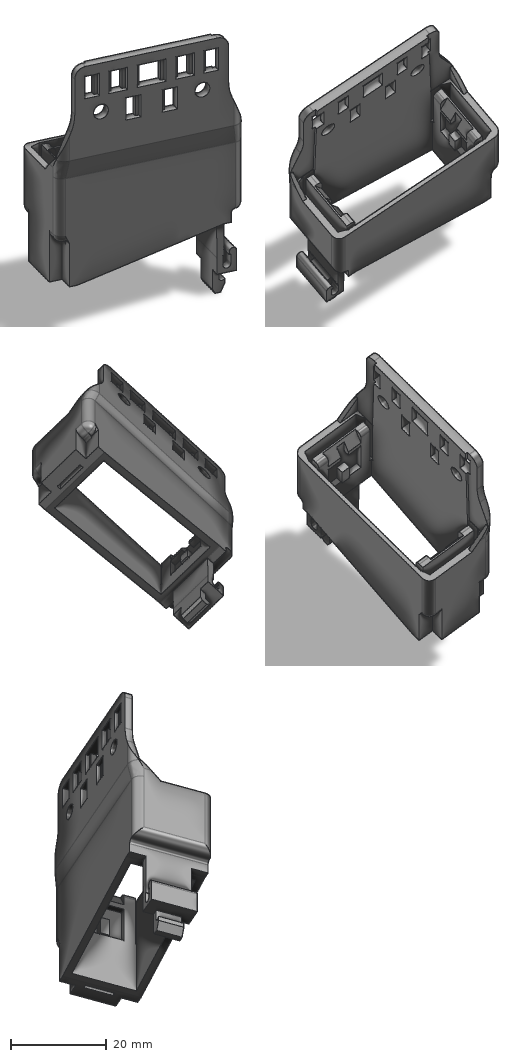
import cadquery as cq
import math

BOX_X = 17.95
HALF_Y = 21.7
RIM_Z = 38.5
BASE_Z = 12.55
TOP_Z = 64.6
CORNER_R = 2.0

STEP_Y = 18.75
STEP_R = HALF_Y - CORNER_R - STEP_Y
STEP_Z = 22.8
UNDERCUT_R = CORNER_R
SLOPE_Y = 16.9
SLOPE_Z = 19.65

TONGUE_X0 = 3.75
TONGUE_X1 = 14.2

SIDE_WALL = 1.0
CAVITY_X1 = 16.85
CAVITY_HALF_Y = 20.15
CAVITY_CHAMFER_X = 0.85
CAVITY_CHAMFER_Y = 2.1
FLOOR_Z = 25.6
OPENING_X0 = 1.6
OPENING_X1 = 16.4
OPENING_HALF_Y = 15.65
PAD_TOP_Z = 36.8

GUIDE_TOP_Z = RIM_Z
GUIDE_BACK_Y = 17.8
POST_X0 = 1.8
POST_X1 = 16.0
POST_ROUND = 1.1
RAMP_X0 = 4.45
RAMP_X1 = 13.5
RAMP_TOP_Y = 17.45
RAMP_TIP_Z = 35.3
RAMP_LIP = 1.2
GUIDE_WALL_Y = 17.0
GAP_X0 = 7.95
GAP_X1 = 10.0
STOP_TIP_Y = 15.25
STOP_TOP_Z = 29.8

SLOT_X0 = 5.55
SLOT_X1 = 12.35
SLOT_LEDGE_Y = 18.7
SLOT_LEDGE_DEPTH = 1.3

PLATE_X1 = 18.6
PLATE_X0 = OPENING_X1
PLATE_EDGE_X0 = 16.9
PLATE_PAD_BASE_Y = 15.3
PLATE_PAD_TOP_Y = 14.65
PLATE_FLARE_Z = 42.9
NECK_HALF_Y = 17.8
NECK_Z = 53.7
SHOULDER_R = 10.0
SHOULDER_ANGLE = math.radians(24)
PLATE_CORNER_R = 2.5

GUSSET_X0 = 12.1
GUSSET_THICK = 1.05

WINDOW_Y = 2.6
WINDOW_Z = 5.3
UPPER_WINDOW_Z = 59.55
OUTER_WINDOW_PLACE = 14.2
INNER_WINDOW_PLACE = 7.75
MIDDLE_WINDOW_Y = 5.0
LOWER_WINDOW_Z = 52.4
LOWER_WINDOW_PLACE = 4.65
RELIEF_X0 = 17.65
RELIEF_Y = 0.85
HOLE_D = 3.4
HOLE_Y = 11.75
HOLE_Z = 53.05

LEG_INNER_Y = 17.2
LEG_ROOT_Y = 17.0
LEG_TAPER_Z = 9.6
HOOK_BASE_Z = 5.75
HOOK_TOP_Z = 11.4
HOOK_LIP_Y = 20.0
GROOVE_TOP_Z = 9.8
GROOVE_OUTER_Y = 20.35
GROOVE_Z = 6.8
GROOVE_R = 0.9
WEB_TOP_Z = 10.2
WEB_R = 0.8
TIP_X0 = 6.1
TIP_X1 = 11.9
BARB_Y = 20.0
BARB_TOP_Z = 3.1
BARB_SIDE_Z = 2.0
BARB_R = 0.8
TIP_FLAT_Y0 = 17.75
TIP_FLAT_Y1 = 19.05
TIP_CHAMFER_Z = 1.05


def block(x0, x1, y0, y1, z0, z1):
    """Box between two opposite corners."""
    return cq.Workplane("XY").box(x1 - x0, y1 - y0, z1 - z0, centered=False).translate((x0, y0, z0))


def side_sketch(x0):
    """Workplane whose local axes are Y and Z, at the given X."""
    return cq.Workplane("YZ", origin=(x0, 0, 0))


def both_ends(solid):
    """A feature at the +Y end together with its mirror image at the -Y end."""
    return solid.union(solid.mirror("XZ"))


def rounded_prism(width, radius, z0, z1):
    """Upright prism with rounded corners over the full length in Y."""
    prism = block(0, width, -HALF_Y, HALF_Y, z0, z1)
    return prism.edges("|Z").fillet(radius)


def footprint_sketch(width, radius):
    """Rounded rectangle with one long side on X = 0."""
    center = cq.Location(cq.Vector(width / 2, 0, 0))
    return cq.Sketch().rect(width, 2 * HALF_Y).vertices().fillet(radius).moved(center)


def undercut_profile():
    """Side outline of the upper box and the +Y half of the lower body, with the step blended by two arcs."""
    round_z = STEP_Z + UNDERCUT_R
    return (
        side_sketch(0)
        .moveTo(-SLOPE_Y, RIM_Z)
        .lineTo(HALF_Y, RIM_Z)
        .lineTo(HALF_Y, round_z)
        .radiusArc((HALF_Y - UNDERCUT_R, STEP_Z), UNDERCUT_R)
        .radiusArc((STEP_Y, STEP_Z - STEP_R), -STEP_R)
        .lineTo(STEP_Y, SLOPE_Z)
        .lineTo(SLOPE_Y, SLOPE_Z)
        .lineTo(-SLOPE_Y, BASE_Z)
        .close()
        .extrude(BOX_X)
    )


def notched_end():
    """-Y end: a ball-cornered upper part over a lower wall, with a cove and side webs between them."""
    start_y = -SLOPE_Y
    round_z = STEP_Z + UNDERCUT_R
    cove_y = -STEP_Y - STEP_R
    ball = rounded_prism(BOX_X, CORNER_R, STEP_Z, RIM_Z).faces("<Z").edges().fillet(UNDERCUT_R)
    upper = ball.intersect(block(0, BOX_X, -HALF_Y, start_y, STEP_Z, RIM_Z))
    lower = block(0, BOX_X, -STEP_Y, start_y, BASE_Z, RIM_Z)
    cove = (
        side_sketch(CORNER_R)
        .moveTo(-STEP_Y, STEP_Z)
        .lineTo(-STEP_Y, STEP_Z - STEP_R)
        .radiusArc((cove_y, STEP_Z), -STEP_R)
        .close()
        .extrude(BOX_X - 2 * CORNER_R)
    )
    web = (
        side_sketch(0)
        .polyline([(-STEP_Y, STEP_Z), (-STEP_Y, round_z), (cove_y, round_z)])
        .close()
        .extrude(BOX_X)
    )
    end_block = block(TONGUE_X0, TONGUE_X1, -HALF_Y, -STEP_Y, BASE_Z, RIM_Z)
    return upper.union(lower).union(cove).union(web).union(end_block)


def stepped_body():
    """Outer body with a sloping bottom; both ends step in below the rounded upper part."""
    main = undercut_profile().intersect(rounded_prism(BOX_X, CORNER_R, BASE_Z, RIM_Z))
    return main.union(notched_end())


def cavity():
    """Space inside the box: wide down to the floor, then a narrower opening through the bottom.

    Pads thicken both long walls, leaving the opening's faces continuous with them.
    """
    straight_y = CAVITY_HALF_Y - CAVITY_CHAMFER_Y
    flat_x0 = SIDE_WALL + CAVITY_CHAMFER_X
    flat_x1 = CAVITY_X1 - CAVITY_CHAMFER_X
    upper = (
        cq.Workplane("XY", origin=(0, 0, FLOOR_Z))
        .polyline([
            (SIDE_WALL, -straight_y), (flat_x0, -CAVITY_HALF_Y),
            (flat_x1, -CAVITY_HALF_Y), (CAVITY_X1, -straight_y),
            (CAVITY_X1, straight_y), (flat_x1, CAVITY_HALF_Y),
            (flat_x0, CAVITY_HALF_Y), (SIDE_WALL, straight_y),
        ])
        .close()
        .extrude(RIM_Z - FLOOR_Z)
    )
    front_pad = block(SIDE_WALL, OPENING_X0, -OPENING_HALF_Y, OPENING_HALF_Y, FLOOR_Z, PAD_TOP_Z)
    plate_pad = block(OPENING_X1, CAVITY_X1, -PLATE_PAD_BASE_Y, PLATE_PAD_BASE_Y, FLOOR_Z, RIM_Z)
    opening = block(OPENING_X0, OPENING_X1, -OPENING_HALF_Y, OPENING_HALF_Y, BASE_Z, FLOOR_Z)
    return upper.cut(front_pad).cut(plate_pad).union(opening)


def end_guide():
    """Two posts joined by a wall that carries a pair of ramps and a stop."""
    def post(x0, x1):
        solid = block(x0, x1, OPENING_HALF_Y, GUIDE_BACK_Y, FLOOR_Z, GUIDE_TOP_Z)
        return solid.edges("|X and <Y and >Z").fillet(POST_ROUND)

    wall = block(RAMP_X0, RAMP_X1, GUIDE_WALL_Y, GUIDE_BACK_Y, FLOOR_Z, GUIDE_TOP_Z)
    slope = (
        side_sketch(RAMP_X0)
        .polyline([
            (GUIDE_BACK_Y, GUIDE_TOP_Z), (RAMP_TOP_Y, GUIDE_TOP_Z), (OPENING_HALF_Y, RAMP_TIP_Z),
            (OPENING_HALF_Y, RAMP_TIP_Z - RAMP_LIP), (GUIDE_BACK_Y, RAMP_TIP_Z - RAMP_LIP),
        ])
        .close()
        .extrude(RAMP_X1 - RAMP_X0)
    )
    above_slope = (
        side_sketch(RAMP_X0)
        .polyline([
            (RAMP_TOP_Y, GUIDE_TOP_Z), (OPENING_HALF_Y, GUIDE_TOP_Z), (OPENING_HALF_Y, RAMP_TIP_Z),
        ])
        .close()
        .extrude(RAMP_X1 - RAMP_X0)
    )
    gap = block(GAP_X0, GAP_X1, OPENING_HALF_Y, GUIDE_WALL_Y, FLOOR_Z, GUIDE_TOP_Z)
    stop = block(GAP_X0, GAP_X1, STOP_TIP_Y, GUIDE_BACK_Y, FLOOR_Z, STOP_TOP_Z)
    middle = wall.cut(above_slope).union(slope.cut(gap)).union(stop)
    return middle.union(post(POST_X0, RAMP_X0)).union(post(RAMP_X1, POST_X1))


def hook_slot():
    """Slot through the floor at the -Y end, with a shallow ledge on its outer side."""
    through = block(SLOT_X0, SLOT_X1, -SLOT_LEDGE_Y, -GUIDE_BACK_Y, BASE_Z, FLOOR_Z)
    ledge = block(SLOT_X0, SLOT_X1, -CAVITY_HALF_Y, -SLOT_LEDGE_Y, FLOOR_Z - SLOT_LEDGE_DEPTH, FLOOR_Z)
    return through.union(ledge)


def plate_outline():
    """Plate seen along X: rounded top corners, a neck, and S-shaped shoulders at full length."""
    shoulder_y = SHOULDER_R * (1 - math.cos(SHOULDER_ANGLE))
    shoulder_z = SHOULDER_R * math.sin(SHOULDER_ANGLE)
    run_y = HALF_Y - NECK_HALF_Y - 2 * shoulder_y
    run_z = run_y / math.tan(SHOULDER_ANGLE)
    wide_z = NECK_Z - 2 * shoulder_z - run_z

    half = (
        side_sketch(0)
        .moveTo(0, RIM_Z)
        .lineTo(HALF_Y, RIM_Z)
        .lineTo(HALF_Y, wide_z)
        .radiusArc((HALF_Y - shoulder_y, wide_z + shoulder_z), -SHOULDER_R)
        .lineTo(NECK_HALF_Y + shoulder_y, NECK_Z - shoulder_z)
        .radiusArc((NECK_HALF_Y, NECK_Z), SHOULDER_R)
        .lineTo(NECK_HALF_Y, TOP_Z - PLATE_CORNER_R)
        .radiusArc((NECK_HALF_Y - PLATE_CORNER_R, TOP_Z), -PLATE_CORNER_R)
        .lineTo(0, TOP_Z)
        .close()
        .extrude(PLATE_X1)
    )
    return both_ends(half)


def plate_and_gussets():
    """Upright plate, thicker in the middle, flaring outward from the box, with a gusset at each side."""
    flare_r = CORNER_R + PLATE_X1 - BOX_X
    flare = (
        cq.Workplane("XY", origin=(0, 0, RIM_Z))
        .placeSketch(
            footprint_sketch(BOX_X, CORNER_R),
            footprint_sketch(PLATE_X1, flare_r).moved(cq.Location(cq.Vector(0, 0, PLATE_FLARE_Z - RIM_Z))),
        )
        .loft()
    )
    envelope = flare.union(rounded_prism(PLATE_X1, flare_r, PLATE_FLARE_Z, TOP_Z))
    edge_slab = block(PLATE_EDGE_X0, PLATE_X1, -HALF_Y, HALF_Y, RIM_Z, TOP_Z)
    middle_slab = (
        side_sketch(PLATE_X0)
        .polyline([
            (-PLATE_PAD_BASE_Y, RIM_Z), (PLATE_PAD_BASE_Y, RIM_Z),
            (PLATE_PAD_TOP_Y, TOP_Z), (-PLATE_PAD_TOP_Y, TOP_Z),
        ])
        .close()
        .extrude(PLATE_X1 - PLATE_X0)
    )
    gusset_run = PLATE_X1 - GUSSET_X0
    gusset = (
        cq.Workplane("XZ", origin=(0, HALF_Y, 0))
        .polyline([(GUSSET_X0, RIM_Z), (PLATE_X1, RIM_Z), (PLATE_X1, RIM_Z + gusset_run)])
        .close()
        .extrude(GUSSET_THICK)
    )
    stock = edge_slab.union(middle_slab).union(both_ends(gusset))
    return stock.intersect(plate_outline()).intersect(envelope)


def plate_openings():
    """Two rows of windows, relieved sideways at the outer face, and two round holes."""
    def window(y, z, width, reliefs):
        z0 = z - WINDOW_Z / 2
        z1 = z + WINDOW_Z / 2
        solid = block(PLATE_X0, PLATE_X1, y - width / 2, y + width / 2, z0, z1)
        for side in reliefs:
            far_y = y + side * (width / 2 + RELIEF_Y)
            solid = solid.union(block(RELIEF_X0, PLATE_X1, min(y, far_y), max(y, far_y), z0, z1))
        return solid

    cutter = window(0, UPPER_WINDOW_Z, MIDDLE_WINDOW_Y, (-1, 1))
    for side in (-1, 1):
        cutter = cutter.union(window(side * OUTER_WINDOW_PLACE, UPPER_WINDOW_Z, WINDOW_Y, (-side,)))
        cutter = cutter.union(window(side * INNER_WINDOW_PLACE, UPPER_WINDOW_Z, WINDOW_Y, (-1, 1)))
        cutter = cutter.union(window(side * LOWER_WINDOW_PLACE, LOWER_WINDOW_Z, WINDOW_Y, (-side,)))
    holes = (
        side_sketch(PLATE_X0)
        .pushPoints([(-HOLE_Y, HOLE_Z), (HOLE_Y, HOLE_Z)])
        .circle(HOLE_D / 2)
        .extrude(PLATE_X1 - PLATE_X0)
    )
    return cutter.union(holes)


def hook():
    """Leg below the +Y end with an upward hook and, below it, a narrower barbed tip."""
    leg = (
        side_sketch(TONGUE_X0)
        .polyline([
            (STEP_Y, SLOPE_Z), (STEP_Y, HOOK_BASE_Z), (LEG_INNER_Y, HOOK_BASE_Z),
            (LEG_INNER_Y, LEG_TAPER_Z), (LEG_ROOT_Y, SLOPE_Z),
        ])
        .close()
        .extrude(TONGUE_X1 - TONGUE_X0)
    )
    hook_end_r = (HALF_Y - HOOK_LIP_Y) / 2
    upright = (
        side_sketch(TONGUE_X0)
        .moveTo(LEG_INNER_Y, HOOK_BASE_Z)
        .lineTo(HALF_Y, HOOK_BASE_Z)
        .lineTo(HALF_Y, HOOK_TOP_Z - hook_end_r)
        .radiusArc((HOOK_LIP_Y, HOOK_TOP_Z - hook_end_r), -hook_end_r)
        .lineTo(HOOK_LIP_Y, GROOVE_TOP_Z)
        .lineTo(LEG_INNER_Y, GROOVE_TOP_Z)
        .close()
        .extrude(TONGUE_X1 - TONGUE_X0)
    )
    groove_y = GROOVE_OUTER_Y - GROOVE_R
    groove = (
        side_sketch(TONGUE_X0)
        .moveTo(GROOVE_OUTER_Y, GROOVE_TOP_Z)
        .lineTo(GROOVE_OUTER_Y, GROOVE_Z + GROOVE_R)
        .radiusArc((groove_y - GROOVE_R, GROOVE_Z + GROOVE_R), GROOVE_R)
        .lineTo(groove_y - GROOVE_R, GROOVE_TOP_Z)
        .close()
        .extrude(TONGUE_X1 - TONGUE_X0)
    )
    web = (
        side_sketch(TIP_X0)
        .moveTo(LEG_INNER_Y, HOOK_BASE_Z)
        .lineTo(GROOVE_OUTER_Y, HOOK_BASE_Z)
        .lineTo(GROOVE_OUTER_Y, WEB_TOP_Z)
        .lineTo(HOOK_LIP_Y, WEB_TOP_Z)
        .radiusArc((STEP_Y, WEB_TOP_Z), WEB_R)
        .lineTo(LEG_INNER_Y, WEB_TOP_Z)
        .close()
        .extrude(TIP_X1 - TIP_X0)
    )
    tip = (
        side_sketch(TIP_X0)
        .moveTo(LEG_INNER_Y, HOOK_BASE_Z)
        .lineTo(LEG_INNER_Y, TIP_CHAMFER_Z)
        .lineTo(TIP_FLAT_Y0, 0)
        .lineTo(TIP_FLAT_Y1, 0)
        .lineTo(BARB_Y, BARB_SIDE_Z)
        .lineTo(BARB_Y, BARB_TOP_Z)
        .radiusArc((STEP_Y, BARB_TOP_Z), BARB_R)
        .lineTo(STEP_Y, HOOK_BASE_Z)
        .close()
        .extrude(TIP_X1 - TIP_X0)
    )
    return leg.union(upright).cut(groove).union(web).union(tip)


result = stepped_body().cut(cavity()).cut(hook_slot())
result = result.union(both_ends(end_guide()))
result = result.union(plate_and_gussets()).cut(plate_openings())
result = result.union(hook())